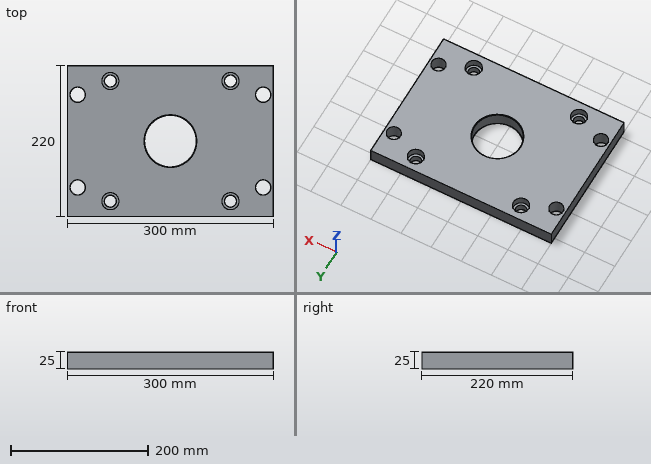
import cadquery as cq

length = 300.0
width = 220.0
thickness = 25.0

bore_diameter = 75.0
bore_chamfer = 1.0

plain_hole_diameter = 22.0
plain_hole_spacing_x = 270.0
plain_hole_spacing_y = 135.0

screw_hole_diameter = 17.0
counterbore_diameter = 25.0
counterbore_depth = 13.0
screw_hole_spacing = 175.0


def make_plate():
    plate = cq.Workplane("XY").box(length, width, thickness, centered=(True, True, False))
    return plate.faces(">Z").workplane(origin=(0, 0, thickness)).tag("top_face")


def cut_central_bore(plate):
    bored = plate.workplaneFromTagged("top_face").hole(bore_diameter)
    rims = cq.selectors.RadiusNthSelector(0)
    return bored.edges("%CIRCLE").edges(rims).chamfer(bore_chamfer)


def cut_plain_holes(plate):
    return (
        plate.workplaneFromTagged("top_face")
        .rarray(plain_hole_spacing_x, plain_hole_spacing_y, 2, 2)
        .hole(plain_hole_diameter)
    )


def cut_screw_holes(plate):
    return (
        plate.workplaneFromTagged("top_face")
        .rarray(screw_hole_spacing, screw_hole_spacing, 2, 2)
        .cboreHole(screw_hole_diameter, counterbore_diameter, counterbore_depth)
    )


result = cut_screw_holes(cut_plain_holes(cut_central_bore(make_plate())))